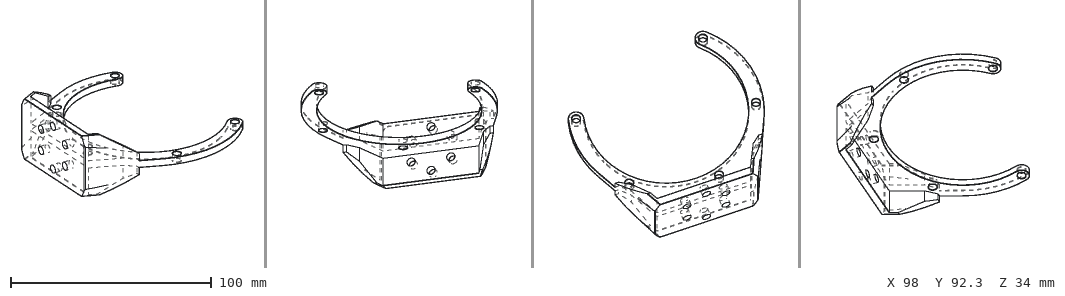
import cadquery as cq
import math

outer_radius = 49.0
overall_depth = 92.3
overall_height = 34.0

inner_radius = 41.1
ring_thickness = 4.0
ring_edge_chamfer = 0.2
ring_hole_diameter = 4.2
ring_hole_angles = [45, 165, 225, 285, 345]
right_tip_angle = ring_hole_angles[0]
left_tip_angle = ring_hole_angles[1]
mid_radius = (outer_radius + inner_radius) / 2
tip_radius = (outer_radius - inner_radius) / 2
ring_center_y = overall_depth - tip_radius - mid_radius * math.sin(math.radians(right_tip_angle))

base_half_width = 27.5
plate_thickness = 4.0
wall_thickness = plate_thickness
wall_depth = 25.0
wall_end_height = 12.0
wall_end_width = 2.0
wall_bevel_depth = 5.2
full_height_depth = 2 * plate_thickness
front_corner_chamfer = 0.4
rim_chamfer = 0.2

cone_front_radius = 30.0
cone_back_radius = 39.7

bolt_circle_radius = 12.0
bolt_hole_diameter = 4.2
bolt_count = 6

corner_distance = math.hypot(base_half_width, ring_center_y)
flank_angle = math.asin(outer_radius / corner_distance) - math.atan2(base_half_width, ring_center_y)
tangent_x = outer_radius * math.cos(flank_angle)
tangent_y = ring_center_y - outer_radius * math.sin(flank_angle)


def flank_x(y, inset=0.0):
    """Half width between the flanks at depth y, with both flanks moved inward by inset."""
    return base_half_width + y * math.tan(flank_angle) - inset / math.cos(flank_angle)


def ring_point(radius, angle):
    """Point at a radius and an angle in degrees around the ring center."""
    turn = math.radians(angle)
    return (radius * math.cos(turn), ring_center_y + radius * math.sin(turn))


def tip_point(angle, direction):
    """Farthest point of a round tip; direction is 1 for counterclockwise, -1 for clockwise."""
    x, y = ring_point(mid_radius, angle)
    reach = direction * tip_radius
    turn = math.radians(angle)
    return (x - reach * math.sin(turn), y + reach * math.cos(turn))


def make_ring():
    """Flat open ring with round tips, widened by tangent flanks that end inside the plate."""
    front_y = plate_thickness / 2
    workplane = cq.Workplane("XY", origin=(0, 0, -ring_thickness / 2))
    ring = (
        workplane.moveTo(-flank_x(front_y), front_y)
        .lineTo(flank_x(front_y), front_y)
        .lineTo(tangent_x, tangent_y)
        .threePointArc(ring_point(outer_radius, 0), ring_point(outer_radius, right_tip_angle))
        .threePointArc(tip_point(right_tip_angle, 1), ring_point(inner_radius, right_tip_angle))
        .threePointArc(ring_point(inner_radius, 270), ring_point(inner_radius, left_tip_angle))
        .threePointArc(tip_point(left_tip_angle, -1), ring_point(outer_radius, left_tip_angle))
        .threePointArc(ring_point(outer_radius, 180), (-tangent_x, tangent_y))
        .close()
        .extrude(ring_thickness)
    )
    holes = (
        workplane.pushPoints([ring_point(mid_radius, angle) for angle in ring_hole_angles])
        .circle(ring_hole_diameter / 2)
        .extrude(ring_thickness)
    )
    return ring.cut(holes).faces("|Z").edges().chamfer(ring_edge_chamfer)


def make_base_plan():
    """Full-height U of the plate and its side walls, with bevelled wall ends."""
    bevel_y = wall_depth - wall_bevel_depth
    right_half = [
        (flank_x(0), 0),
        (flank_x(wall_depth), wall_depth),
        (flank_x(wall_depth) - wall_end_width, wall_depth),
        (flank_x(bevel_y, wall_thickness), bevel_y),
        (flank_x(plate_thickness, wall_thickness), plate_thickness),
    ]
    left_half = [(-x, y) for x, y in reversed(right_half)]
    plan = (
        cq.Workplane("XY", origin=(0, 0, -overall_height / 2))
        .polyline(right_half + left_half)
        .close()
        .extrude(overall_height)
    )
    return plan.faces("<Y").edges("|Z").chamfer(front_corner_chamfer)


def make_side_profile():
    """Side shape of the base: full height in front, sloping down to the wall ends."""
    upper_half = [
        (wall_depth, wall_end_height / 2),
        (full_height_depth, overall_height / 2),
        (0, overall_height / 2),
    ]
    lower_half = [(y, -z) for y, z in reversed(upper_half)]
    return (
        cq.Workplane("YZ")
        .polyline(upper_half + lower_half)
        .close()
        .extrude(outer_radius, both=True)
    )


def make_corner_cone():
    """Cone around the Y axis, widening from the front face to the wall ends."""
    return (
        cq.Workplane("XY")
        .polyline([(0, 0), (cone_front_radius, 0), (cone_back_radius, wall_depth), (0, wall_depth)])
        .close()
        .revolve(360, (0, 0, 0), (0, 1, 0))
    )


def make_base():
    """Trimmed base, chamfered above and below along the plate and the cone-cut corners."""
    base = make_base_plan().intersect(make_side_profile()).intersect(make_corner_cone())
    for side in (">Z", "<Z"):
        base = base.faces(side).edges("(|X or (not %LINE)) and (not >Y)").chamfer(rim_chamfer)
    return base


def make_bolt_holes():
    """Bolt holes through the mounting plate, one of them straight above the center."""
    return (
        cq.Workplane("XZ")
        .polarArray(bolt_circle_radius, 90, 360, bolt_count)
        .circle(bolt_hole_diameter / 2)
        .extrude(-plate_thickness)
    )


result = make_ring().union(make_base()).cut(make_bolt_holes())